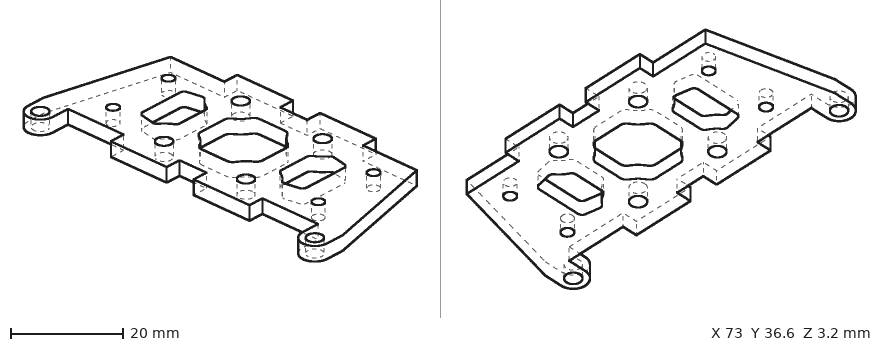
import cadquery as cq

length = 73.0
thickness = 3.2
half_length = length / 2
body_half_width = 13.15
body_top_half_length = 30.1

tab_depth = 3.35
tab_inner_x = 3.3
tab_outer_x = 16.9
tab_half_width = body_half_width + tab_depth

total_width = 36.65
ear_radius = 3.0
ear_x = half_length - ear_radius
ear_y = tab_half_width - total_width + ear_radius
ear_inner_x = half_length - 2 * ear_radius

large_hole_diameter = 3.3
small_hole_diameter = 2.5
motor_hole_offset = 10.0
small_hole_x = 25.05
small_hole_y = 7.2

clearance_radius = 6.5

window_size = 15.05
window_fillet = 1.5

side_inner_x = 12.4
side_outer_x = 20.0
side_inner_half_height = 7.15
side_outer_half_height = 5.7
side_fillet = 1.0


def make_body():
    """Tapered plate with an ear projecting below each lower corner."""
    return (
        cq.Workplane("XY")
        .moveTo(-body_top_half_length, body_half_width)
        .lineTo(body_top_half_length, body_half_width)
        .lineTo(half_length, -body_half_width)
        .lineTo(half_length, ear_y)
        .threePointArc((ear_x, ear_y - ear_radius), (ear_inner_x, ear_y))
        .lineTo(ear_inner_x, -body_half_width)
        .lineTo(-ear_inner_x, -body_half_width)
        .lineTo(-ear_inner_x, ear_y)
        .threePointArc((-ear_x, ear_y - ear_radius), (-half_length, ear_y))
        .lineTo(-half_length, -body_half_width)
        .close()
        .extrude(thickness)
    )


def make_tabs():
    """Pair of bars across the plate whose ends form the four tabs."""
    tab_center_x = (tab_inner_x + tab_outer_x) / 2
    return (
        cq.Workplane("XY")
        .pushPoints([(-tab_center_x, 0), (tab_center_x, 0)])
        .rect(tab_outer_x - tab_inner_x, 2 * tab_half_width)
        .extrude(thickness)
    )


def make_holes(points, diameter):
    return cq.Workplane("XY").pushPoints(points).circle(diameter / 2).extrude(thickness)


def mirrored_points(x, y):
    return [(sx * x, sy * y) for sx in (-1, 1) for sy in (-1, 1)]


def trim_window(blank, fillet_radius):
    """Keep the window clear of the motor holes and round its corners."""
    clearances = make_holes(motor_holes, 2 * clearance_radius)
    return blank.cut(clearances).edges("|Z").fillet(fillet_radius)


def make_center_window():
    blank = cq.Workplane("XY").rect(window_size, window_size).extrude(thickness)
    return trim_window(blank, window_fillet)


def make_side_window():
    """Window on the +X side."""
    outline = [
        (side_inner_x, side_inner_half_height),
        (side_outer_x, side_outer_half_height),
        (side_outer_x, -side_outer_half_height),
        (side_inner_x, -side_inner_half_height),
    ]
    blank = cq.Workplane("XY").polyline(outline).close().extrude(thickness)
    return trim_window(blank, side_fillet)


motor_holes = mirrored_points(motor_hole_offset, motor_hole_offset)
ear_holes = [(-ear_x, ear_y), (ear_x, ear_y)]
side_window = make_side_window()

result = (
    make_body()
    .union(make_tabs())
    .cut(make_holes(motor_holes + ear_holes, large_hole_diameter))
    .cut(make_holes(mirrored_points(small_hole_x, small_hole_y), small_hole_diameter))
    .cut(make_center_window())
    .cut(side_window)
    .cut(side_window.mirror("YZ"))
)